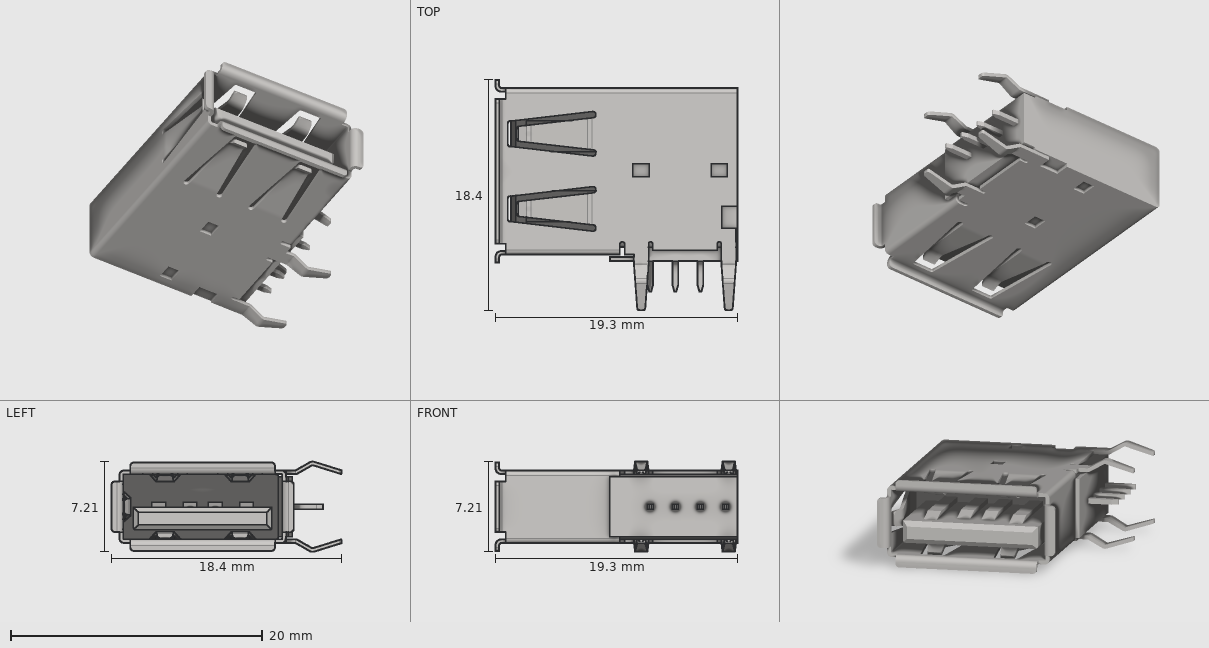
import cadquery as cq
import math

length = 19.3
sheet = 0.3
shell_front = 0.81
shell_half_y = 6.64
shell_half_z = 2.9
inner_half_y = shell_half_y - sheet
inner_half_z = shell_half_z - sheet
mid_sheet = sheet / 2
shell_inner_radius = 0.08
shell_outer_radius = shell_inner_radius + sheet

lip_rise = 0.64
lip_bend = 0.2
lip_corner = 0.3
wide_lip = 11.55
narrow_lip = 4.05

finger_y = 3.0
window_front = 1.0
window_front_half = 0.98
window_corner = 0.15
slot_end = 7.75
slot_outer_half = 1.78
slot_radius = 0.25
finger_root_half = slot_outer_half - 2 * slot_radius
finger_tip = 1.75
finger_tip_half = 0.58
finger_tip_corner = 0.27
finger_root_bend = 7.5
finger_low_bend = 2.59
finger_drop = 0.62
finger_tip_drop = 0.1
root_bend_radius = 2.5
low_bend_radius = 0.55

side_wall_end = 9.92
relief_top = -5.62
reliefs = [(side_wall_end, 10.3), (12.2, 12.53), (17.68, 17.99)]
rear_edge_y = -6.27
rear_corner_x = 19.16
rear_notch_x = 18.05
rear_notch_y = (-4.52, -2.78)
latch_hole = (1.31, 1.05)
latch_hole_y = 0.08
latch_hole_x = (11.6, 17.83)

tail_x = (11.62, 18.59)
tail_root_width = 1.18
tail_end_width = 0.64
tail_half_root = tail_root_width / 2
tail_half_end = tail_end_width / 2
tail_taper_start = -7.4
tail_root_bend = -7.43
tail_peak = -8.72
tail_end = -11.08
tail_peak_rise = 0.73
tail_root_radius = 0.05
tail_bend_radius = 0.15
tail_tip_corner = 0.23

cavity_back = 9.65
housing_low_y = -6.05
housing_edge_radius = 0.2
tongue_front = 1.24
tongue_half_y = 5.52
tongue_top = -0.04
tongue_bottom = -1.85
tongue_chamfer = 0.4
tongue_edge_radius = 0.23
foot_half_z = 2.4
foot_front = tail_x[0] - tail_half_root
foot_y = -7.15
flange_front = 9.13
flange_thickness = 0.33

power_contact_y = (-3.5, 3.5)
data_contact_y = (-1.0, 1.0)
contact_width = 1.08
contact_height = 0.4
power_contact_front = 2.45
data_contact_setback = 1.0
data_contact_front = power_contact_front + data_contact_setback
contact_ramp = 1.49
pin_count = 4
pin_first_x = 12.33
pin_row = 6.0
pin_pitch = pin_row / (pin_count - 1)
pin_width = 0.48
pin_thickness = 0.4
pin_end_y = -9.6
pin_taper = 0.55
pin_tip_width = 0.15


def block(x_range, y_range, z_range):
    """Box between the given limits."""
    size = [high - low for low, high in (x_range, y_range, z_range)]
    corner = cq.Vector(x_range[0], y_range[0], z_range[0])
    return cq.Workplane(cq.Solid.makeBox(*size, corner))


def bent_strip(path, inner_radii, width, plane):
    """Sheet strip along a path of its mid line, rounded at each bend, centred on the plane."""
    left = []
    right = []
    turns = []
    for i, (u, v) in enumerate(path):
        before = path[max(i - 1, 0)]
        after = path[min(i + 1, len(path) - 1)]
        angle_in = math.atan2(v - before[1], u - before[0])
        angle_out = math.atan2(after[1] - v, after[0] - u)
        if i == 0:
            angle_in = angle_out
        if i == len(path) - 1:
            angle_out = angle_in
        turn = math.remainder(angle_out - angle_in, 2 * math.pi)
        normal = angle_in + turn / 2 + math.pi / 2
        reach = mid_sheet / math.cos(turn / 2)
        offset = (reach * math.cos(normal), reach * math.sin(normal))
        left.append((u + offset[0], v + offset[1]))
        right.append((u - offset[0], v - offset[1]))
        turns.append(turn)
    base = cq.Workplane(plane)
    strip = base.polyline(left + right[::-1]).close().extrude(width / 2, both=True)
    for i, radius in enumerate(inner_radii, start=1):
        inside, outside = (left[i], right[i]) if turns[i] > 0 else (right[i], left[i])
        for point, bend in ((inside, radius), (outside, radius + sheet)):
            spot = base.plane.toWorldCoords(point).toTuple()
            strip = strip.edges(cq.selectors.NearestToPointSelector(spot)).fillet(bend)
    return strip


def on_wall(shape, angle, distance):
    """Move a shape made around Z = 0 out to a wall, turned by an angle about X."""
    return shape.translate((0, 0, distance)).rotate((0, 0, 0), (1, 0, 0), angle)


TOP, BOTTOM, LEFT_SIDE, RIGHT_SIDE = 0, 180, -90, 90
mid_z = shell_half_z - mid_sheet
mid_y = shell_half_y - mid_sheet


def shell_walls():
    """Box tube behind the lips, open at both ends and along the rear of the pin side."""
    y_range = (-shell_half_y, shell_half_y)
    z_range = (-shell_half_z, shell_half_z)
    front = block((shell_front, side_wall_end), y_range, z_range).edges("|X").fillet(shell_outer_radius)
    rear = block((side_wall_end, length), y_range, z_range).edges("|X and >Y").fillet(shell_outer_radius)
    inside_z = (-inner_half_z, inner_half_z)
    inside = block((shell_front, length), (-inner_half_y, inner_half_y), inside_z)
    inside = inside.edges("|X").fillet(shell_inner_radius)
    open_side = block((side_wall_end, length), (-shell_half_y, 0), inside_z)
    return front.union(rear).cut(inside).cut(open_side)


def through(x_range, y_range):
    """Cutter through both the top and the bottom sheet."""
    return block(x_range, y_range, (-shell_half_z, shell_half_z))


def cut_rear_edge(shell):
    """Cut the bend reliefs, the edge steps beside the tails and the latch holes."""
    below = -shell_half_y
    for start, end in reliefs:
        radius = (end - start) / 2
        middle = (start + end) / 2
        round_y = relief_top - radius
        round_end = cq.Workplane("XY").center(middle, round_y).circle(radius)
        shell = shell.cut(through((start, end), (below, round_y)))
        shell = shell.cut(round_end.extrude(shell_half_z, both=True))
    shell = shell.cut(through((reliefs[1][1], reliefs[2][0]), (below, rear_edge_y)))
    shell = shell.cut(through((rear_corner_x, length), (below, rear_notch_y[0])))
    shell = shell.cut(through((rear_notch_x, length), rear_notch_y))
    half_x, half_y = latch_hole[0] / 2, latch_hole[1] / 2
    for x in latch_hole_x:
        hole = through((x - half_x, x + half_x), (latch_hole_y - half_y, latch_hole_y + half_y))
        shell = shell.cut(hole)
    return shell


def lip(width):
    """Lip that runs forward from a wall and turns outward."""
    rim = mid_sheet + lip_rise
    path = [(shell_front, 0), (mid_sheet, 0), (mid_sheet, rim)]
    strip = bent_strip(path, [lip_bend], width, "XZ")
    return strip.edges("|X and >Z").fillet(lip_corner)


def window():
    """Cutter for a finger's window, with a round slot end on each side of the root."""
    slot_middle = slot_outer_half - slot_radius
    outline = (
        cq.Workplane("XY")
        .moveTo(window_front, -window_front_half)
        .lineTo(window_front, window_front_half)
        .lineTo(slot_end, slot_outer_half)
        .threePointArc((slot_end + slot_radius, slot_middle), (slot_end, finger_root_half))
        .lineTo(slot_end, -finger_root_half)
        .threePointArc((slot_end + slot_radius, -slot_middle), (slot_end, -slot_outer_half))
        .close()
    )
    cutter = outline.extrude(mid_sheet, both=True)
    return cutter.edges("|Z and <X").fillet(window_corner)


def finger():
    """Tapered spring finger that slopes inward to its low bend and lifts again at the tip."""
    root = slot_end + slot_radius
    path = [
        (root, 0),
        (finger_root_bend, 0),
        (finger_low_bend, -finger_drop),
        (finger_tip, -finger_tip_drop),
    ]
    strip = bent_strip(path, [root_bend_radius, low_bend_radius], 2 * slot_outer_half, "XZ")
    plan_tip = finger_tip - mid_sheet / 2
    outline = [
        (plan_tip, -finger_tip_half),
        (plan_tip, finger_tip_half),
        (slot_end, finger_root_half),
        (root, finger_root_half),
        (root, -finger_root_half),
        (slot_end, -finger_root_half),
    ]
    plan = cq.Workplane("XY").polyline(outline).close().extrude(shell_half_z, both=True)
    plan = plan.edges("|Z and <X").fillet(finger_tip_corner)
    return strip.intersect(plan)


def tail():
    """Solder tail that bows outward, narrows and ends rounded."""
    path = [
        (relief_top, 0),
        (tail_root_bend, 0),
        (tail_peak, tail_peak_rise),
        (tail_end, 0),
    ]
    strip = bent_strip(path, [tail_root_radius, tail_bend_radius], 2 * tail_half_root, "YZ")
    outline = [
        (-tail_half_root, relief_top),
        (-tail_half_root, tail_taper_start),
        (-tail_half_end, tail_end),
        (tail_half_end, tail_end),
        (tail_half_root, tail_taper_start),
        (tail_half_root, relief_top),
    ]
    plan = cq.Workplane("XY").polyline(outline).close().extrude(shell_half_z, both=True)
    plan = plan.edges("|Z and <Y").fillet(tail_tip_corner)
    return strip.intersect(plan)


def make_shell():
    shell = cut_rear_edge(shell_walls())
    for angle, distance, width in (
        (TOP, mid_z, wide_lip),
        (BOTTOM, mid_z, wide_lip),
        (LEFT_SIDE, mid_y, narrow_lip),
        (RIGHT_SIDE, mid_y, narrow_lip),
    ):
        shell = shell.union(on_wall(lip(width), angle, distance))
    for angle, distance, offsets in (
        (TOP, mid_z, (-finger_y, finger_y)),
        (BOTTOM, mid_z, (-finger_y, finger_y)),
        (LEFT_SIDE, mid_y, (0,)),
    ):
        for offset in offsets:
            shell = shell.cut(on_wall(window().translate((0, offset, 0)), angle, distance))
            shell = shell.union(on_wall(finger().translate((0, offset, 0)), angle, distance))
    for x in tail_x:
        upper_tail = tail().translate((x, 0, mid_z))
        shell = shell.union(upper_tail).union(upper_tail.mirror("XY"))
    return shell


def make_housing():
    """Rear body with the tongue, the foot around the pins and the flange in front of it."""
    body = block((cavity_back, length), (housing_low_y, inner_half_y), (-inner_half_z, inner_half_z))
    body = body.edges("|X and >Y").fillet(shell_inner_radius)
    body = body.edges("|X and <Y").fillet(housing_edge_radius)
    tongue = block(
        (tongue_front, cavity_back), (-tongue_half_y, tongue_half_y), (tongue_bottom, tongue_top)
    )
    tongue = tongue.faces("<X").chamfer(tongue_chamfer)
    tongue = tongue.edges("|X and <Z").fillet(tongue_edge_radius)
    foot_z = (-foot_half_z, foot_half_z)
    foot = block((foot_front, length), (foot_y, 0), foot_z)
    flange = block((flange_front, length), (foot_y, foot_y + flange_thickness), foot_z)
    return body.union(tongue).union(foot).union(flange)


def make_contact(y, front):
    """Blade lying on the tongue, with a ramp at its front."""
    outline = [
        (front, tongue_top),
        (front + contact_ramp, tongue_top + contact_height),
        (cavity_back, tongue_top + contact_height),
        (cavity_back, tongue_top),
    ]
    blade = cq.Workplane("XZ").polyline(outline).close().extrude(contact_width / 2, both=True)
    return blade.translate((0, y, 0))


def make_pin(x):
    """Flat solder pin with a tapered end."""
    half, half_tip = pin_width / 2, pin_tip_width / 2
    outline = [
        (-half, foot_y),
        (-half, pin_end_y + pin_taper),
        (-half_tip, pin_end_y),
        (half_tip, pin_end_y),
        (half, pin_end_y + pin_taper),
        (half, foot_y),
    ]
    pin = cq.Workplane("XY").polyline(outline).close().extrude(pin_thickness / 2, both=True)
    return pin.translate((x, 0, 0))


shell = make_shell()
housing = make_housing()
contacts = [make_contact(y, power_contact_front) for y in power_contact_y]
contacts += [make_contact(y, data_contact_front) for y in data_contact_y]
pins = [make_pin(pin_first_x + i * pin_pitch) for i in range(pin_count)]

bodies = [shell, housing, *contacts, *pins]
result = cq.Compound.makeCompound([body.solids().val() for body in bodies])